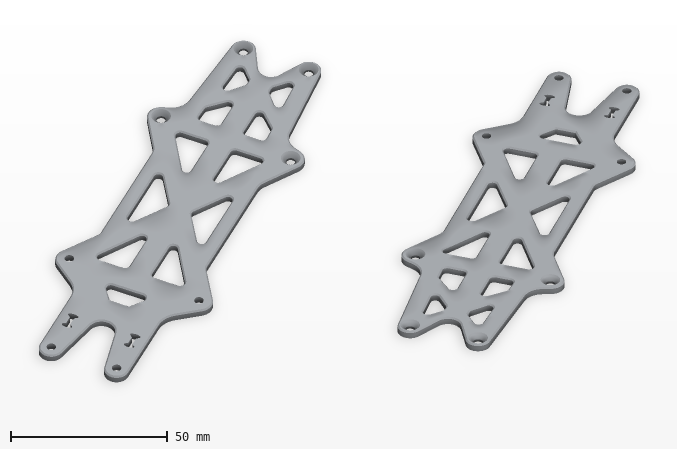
import cadquery as cq
import math

plate_length = 155.6
plate_width = 54.46
thickness = 2.5
edge_chamfer = 0.5

hole_diameter = 3.0
countersink_diameter = 6.25
countersink_angle = 90.0
tip_radius = 4.0
shoulder_radius = 4.5
tip_hole_x = 11.45
tip_hole_y = plate_length / 2 - tip_radius
shoulder_hole_x = plate_width / 2 - shoulder_radius
shoulder_hole_y = 35.25

front_notch_radius = 4.25
front_notch_y = 70.1
rear_notch_radius = 4.4
rear_notch_y = -60.4
front_armpit_radius = 6.5
front_armpit_x = 24.1
front_armpit_y = 46.45
rear_armpit_radius = 7.75
rear_armpit_x = tip_hole_x + tip_radius + rear_armpit_radius
rear_armpit_y = -50.4
waist_half_width = 18.6
front_waist_radius = 5.75
front_waist_y = 18.75
rear_waist_radius = 2.75
rear_waist_y = -19.9

window_radius = 1.5
spine_half_width = 4.0
spine_x = spine_half_width + window_radius
nose_front_x, nose_front_y = 8.55, 64.7
nose_rear_x, nose_rear_y = 9.0, 56.2
nose_inner_front_y, nose_inner_rear_y = 61.4, 60.25
neck_front_y, neck_rear_y = 48.85, 40.45
neck_outer_front_x, neck_outer_rear_x = 10.2, 10.4
neck_outer_front_y = 44.25
triangle_outer_x = 13.7
triangle_base_y, triangle_apex_y = 30.0, 17.25
middle_outer_x, middle_apex_x = 12.2, 5.6
middle_end_y = 10.05
tail_front_x, tail_front_y = 5.27, -41.6
tail_rear_x, tail_rear_y = 3.35, -46.6

slot_x, slot_y = 10.88, -60.57
slot_end_half_width = 1.74
slot_neck_half_width = 0.72
slot_tip_y = 3.15
slot_corner_y = 2.65
slot_taper_outer_y = 2.1
slot_taper_inner_y = 1.45


def rounded_loop(rounds):
    """Closed wire of arcs joined by tangent lines, listed counter-clockwise.

    Each round is (x, y, radius): positive for a convex round, negative for a
    concave one, zero for a sharp corner.
    """
    count = len(rounds)
    normals = []
    for i in range(count):
        x1, y1, r1 = rounds[i]
        x2, y2, r2 = rounds[(i + 1) % count]
        heading = math.atan2(y2 - y1, x2 - x1)
        distance = math.hypot(x2 - x1, y2 - y1)
        normals.append(heading - math.acos((r1 - r2) / distance))

    def on_round(i, angle):
        x, y, radius = rounds[i % count]
        return (x + radius * math.cos(angle), y + radius * math.sin(angle))

    wire = cq.Workplane("XY").moveTo(*on_round(0, normals[0]))
    for i in range(1, count + 1):
        angle_in = normals[i - 1]
        angle_out = normals[i % count]
        wire = wire.lineTo(*on_round(i, angle_in))
        if rounds[i % count][2] != 0:
            turn = math.remainder(angle_out - angle_in, 2 * math.pi)
            wire = wire.threePointArc(on_round(i, angle_in + turn / 2), on_round(i, angle_out))
    return wire.close()


def mirrored_pair(solid):
    return solid.union(solid.mirror("YZ"))


def plate_blank():
    left_side = [
        (-tip_hole_x, tip_hole_y, tip_radius),
        (-front_armpit_x, front_armpit_y, -front_armpit_radius),
        (-shoulder_hole_x, shoulder_hole_y, shoulder_radius),
        (-waist_half_width - front_waist_radius, front_waist_y, -front_waist_radius),
        (-waist_half_width - rear_waist_radius, rear_waist_y, -rear_waist_radius),
        (-shoulder_hole_x, -shoulder_hole_y, shoulder_radius),
        (-rear_armpit_x, rear_armpit_y, -rear_armpit_radius),
        (-tip_hole_x, -tip_hole_y, tip_radius),
    ]
    right_side = [(-x, y, radius) for x, y, radius in reversed(left_side)]
    front_notch = [(0, front_notch_y, -front_notch_radius)]
    rear_notch = [(0, rear_notch_y, -rear_notch_radius)]
    outline = rounded_loop(front_notch + left_side + rear_notch + right_side)
    return outline.extrude(thickness)


def window(centres):
    return rounded_loop([(x, y, window_radius) for x, y in centres]).extrude(thickness)


def side_windows():
    """Windows of the left half, then the same set mirrored to the right."""
    nose = window([
        (-nose_front_x, nose_front_y),
        (-nose_rear_x, nose_rear_y),
        (-spine_x, nose_inner_rear_y),
        (-spine_x, nose_inner_front_y),
    ])
    neck = window([
        (-spine_x, neck_front_y),
        (-neck_outer_front_x, neck_outer_front_y),
        (-neck_outer_rear_x, neck_rear_y),
        (-spine_x, neck_rear_y),
    ])
    front_triangle = window([
        (-triangle_outer_x, triangle_base_y),
        (-spine_x, triangle_apex_y),
        (-spine_x, triangle_base_y),
    ])
    rear_triangle = front_triangle.mirror("XZ")
    middle = window([
        (-middle_outer_x, middle_end_y),
        (-middle_outer_x, -middle_end_y),
        (-middle_apex_x, 0),
    ])
    left = nose.union(neck).union(front_triangle).union(rear_triangle).union(middle)
    return mirrored_pair(left)


def tail_window():
    """Window on the centre line with two rounded and two sharp corners."""
    return rounded_loop([
        (tail_front_x, tail_front_y, window_radius),
        (-tail_front_x, tail_front_y, window_radius),
        (-tail_rear_x, tail_rear_y, 0),
        (tail_rear_x, tail_rear_y, 0),
    ]).extrude(thickness)


def strap_slots():
    slot = (
        cq.Workplane("XY")
        .center(-slot_x, slot_y)
        .moveTo(slot_end_half_width, slot_corner_y)
        .threePointArc((0, slot_tip_y), (-slot_end_half_width, slot_corner_y))
        .lineTo(-slot_end_half_width, slot_taper_outer_y)
        .lineTo(-slot_neck_half_width, slot_taper_inner_y)
        .lineTo(-slot_neck_half_width, -slot_taper_inner_y)
        .lineTo(-slot_end_half_width, -slot_taper_outer_y)
        .lineTo(-slot_end_half_width, -slot_corner_y)
        .threePointArc((0, -slot_tip_y), (slot_end_half_width, -slot_corner_y))
        .lineTo(slot_end_half_width, -slot_taper_outer_y)
        .lineTo(slot_neck_half_width, -slot_taper_inner_y)
        .lineTo(slot_neck_half_width, slot_taper_inner_y)
        .lineTo(slot_end_half_width, slot_taper_outer_y)
        .close()
        .extrude(thickness)
    )
    return mirrored_pair(slot)


def screw_holes():
    """Countersunk holes in the front half, plain holes in the rear half."""
    hole_spots = [(tip_hole_x, tip_hole_y), (shoulder_hole_x, shoulder_hole_y)]
    front_spots = [(side * x, y) for x, y in hole_spots for side in (-1, 1)]
    rear_spots = [(x, -y) for x, y in front_spots]
    holes = cq.Workplane("XY").pushPoints(front_spots + rear_spots).circle(hole_diameter / 2)
    sink_radius = countersink_diameter / 2
    sink_depth = (sink_radius - hole_diameter / 2) / math.tan(math.radians(countersink_angle / 2))
    sink = cq.Solid.makeCone(
        hole_diameter / 2,
        sink_radius,
        sink_depth,
        pnt=cq.Vector(0, 0, thickness - sink_depth),
    )
    sinks = cq.Workplane("XY").pushPoints(front_spots).eachpoint(sink)
    return holes.extrude(thickness).union(sinks)


result = plate_blank().cut(side_windows()).cut(tail_window())
result = result.faces(">Z").edges().chamfer(edge_chamfer)
result = result.cut(strap_slots())
result = result.cut(screw_holes())